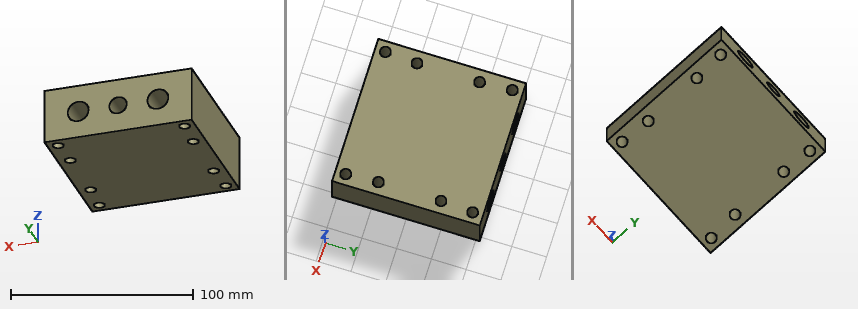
import cadquery as cq

SIDE = 85.0
HEIGHT = 32.0

CENTRE_BORE_DIAMETER = 10.0
OUTER_BORE_DIAMETER = 12.0
OUTER_BORE_OFFSET = 23.0

MOUNT_HOLE_DIAMETER = 6.0
CORNER_SPACING = 73.0
INNER_SPACING_X = 71.0
INNER_SPACING_Y = 36.0


def make_block():
    return cq.Workplane("XY").box(SIDE, SIDE, HEIGHT)


def y_bore(x, diameter):
    """Cylinder along Y through the whole block, at mid height."""
    return (
        cq.Workplane("XZ")
        .center(x, 0)
        .circle(diameter / 2)
        .extrude(SIDE / 2, both=True)
    )


def vertical_holes(spacing_x, spacing_y):
    """Four cylinders along Z at the corners of a centred rectangle."""
    return (
        cq.Workplane("XY")
        .rect(spacing_x, spacing_y, forConstruction=True)
        .vertices()
        .circle(MOUNT_HOLE_DIAMETER / 2)
        .extrude(HEIGHT / 2, both=True)
    )


result = make_block()
result = result.cut(y_bore(0, CENTRE_BORE_DIAMETER))
for side in (-1, 1):
    result = result.cut(y_bore(side * OUTER_BORE_OFFSET, OUTER_BORE_DIAMETER))
result = result.cut(vertical_holes(CORNER_SPACING, CORNER_SPACING))
result = result.cut(vertical_holes(INNER_SPACING_X, INNER_SPACING_Y))